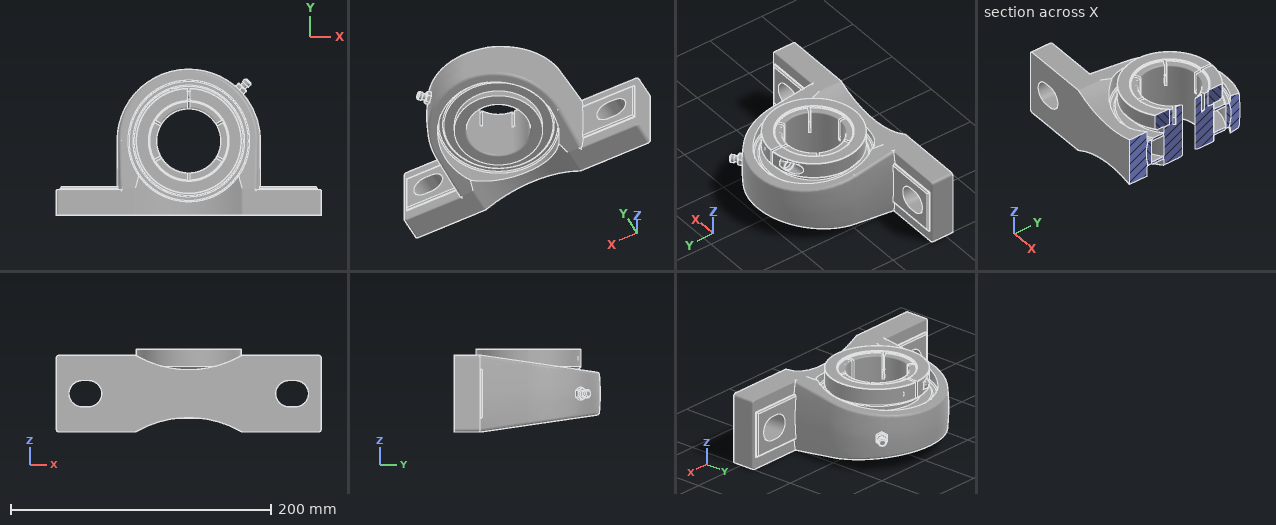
import cadquery as cq
import math


base_length = 204.0
base_depth = 59.3
base_height = 20.0
center_height = 57.2
base_corner_radius = 2.5
base_top_edge_radius = 1.4
cut_margin = 1.0
base_bottom = -center_height
base_top = base_bottom + base_height
half_depth = base_depth / 2

bolt_spacing = 159.0
slot_length = 25.0
slot_width = 20.0
pad_rise = 2.0
pad_depth = 38.0
pad_end_margin = 3.0
pad_chamfer = 1.2

head_radius = 55.3
head_crown_radius = 180.0
head_edge_radius = 2.5
head_foot = base_bottom + base_height / 2
taper_angle = 8.3
taper_start = base_top + 0.3

relief_depth = 11.2
relief_radius = 81.0
relief_edge_radius = 3.6

ring_face_diameter = 91.6
ring_half_width = 12.0
ring_sphere_radius = math.hypot(ring_face_diameter / 2, ring_half_width)
bore_diameter = 93.64

seal_diameter = 86.0
seal_thickness = 3.0
seal_rise = 1.0

collar_overhang = 4.55
collar_top = base_depth / 2 + collar_overhang
inner_ring_recess = 1.3
inner_ring_top = collar_top - inner_ring_recess
shaft_diameter = 49.21
shaft_edge_radius = 1.5
raceway_diameter = 68.0
neck_diameter = 61.0
inner_ring_bottom = -19.0
neck_chamfer = 0.5
finger_slot_width = 2.0
finger_slot_depth = 19.7
finger_slot_rise = 6.0
finger_slot_count = 6

collar_diameter = 81.0
collar_height = 15.5
collar_bottom_chamfer = 2.0
collar_top_chamfer = 0.3
collar_slit_width = 2.0
collar_bore_chamfer = 0.6
collar_bottom = collar_top - collar_height

screw_y = 35.2
screw_z = collar_top - 7.0
screw_head_diameter = 10.0
screw_head_length = 6.0
screw_head_start = -15.2
screw_socket_diameter = 8.0
screw_socket_depth = 3.0
screw_shank_diameter = 6.0
screw_end = 12.0

nipple_angle = 45.0
nipple_hex_diameter = 10.0
nipple_hex_height = 3.5
nipple_hex_chamfer = 1.0
nipple_neck_diameter = 4.92
nipple_neck_height = 2.8
nipple_head_diameter = 6.4
nipple_head_height = 3.6
nipple_head_chamfer = 0.9
nipple_stem_diameter = 6.0
nipple_stem_length = 5.0


def cylinder(diameter, bottom, top):
    return cq.Workplane("XY").workplane(offset=bottom).circle(diameter / 2).extrude(top - bottom)


def on_screw_axis(diameter, start, end):
    """Cylinder along the clamp screw axis."""
    plane = cq.Plane(origin=(start, screw_y, screw_z), xDir=(0, 1, 0), normal=(1, 0, 0))
    return cq.Workplane(plane).circle(diameter / 2).extrude(end - start)


def nipple_plane(distance):
    """Plane square to the nipple axis, at a distance from the bearing centre."""
    angle = math.radians(nipple_angle)
    outward = (math.cos(angle), math.sin(angle), 0)
    origin = (distance * outward[0], distance * outward[1], 0)
    return cq.Workplane(cq.Plane(origin=origin, xDir=(0, 0, 1), normal=outward))


def make_head():
    """Round head with straight legs, tapered in depth and rounded along its rims."""
    crown_drop = head_crown_radius - math.sqrt(head_crown_radius**2 - half_depth**2)
    edge_x = head_radius - crown_drop

    def half_section():
        """Half of the head cut through the shaft axis, with its crowned outer side."""
        return (
            cq.Workplane("XZ")
            .moveTo(0, -half_depth)
            .lineTo(edge_x, -half_depth)
            .threePointArc((head_radius, 0), (edge_x, half_depth))
            .lineTo(0, half_depth)
            .close()
        )

    legs = half_section().extrude(-head_foot)
    legs = legs.union(legs.mirror("YZ"))
    head = half_section().revolve(360, (0, 0, 0), (0, 1, 0)).union(legs)
    tip_y = head_radius + cut_margin
    tilt = math.radians(taper_angle)
    tip_half_depth = half_depth - (tip_y - taper_start) * math.tan(tilt)
    wedge = (
        cq.Workplane("YZ")
        .polyline([
            (head_foot, -half_depth),
            (taper_start, -half_depth),
            (tip_y, -tip_half_depth),
            (tip_y, tip_half_depth),
            (taper_start, half_depth),
            (head_foot, half_depth),
        ])
        .close()
        .extrude(head_radius + cut_margin, both=True)
    )
    head = head.intersect(wedge)
    for side in (1, -1):
        tapered_face = (0, math.sin(tilt), side * math.cos(tilt))
        rim = head.faces(cq.selectors.ParallelDirSelector(cq.Vector(*tapered_face))).edges("not(|X)")
        head = head.newObject(rim.vals()).fillet(head_edge_radius)
    return head


def make_base():
    base = (
        cq.Workplane("XY")
        .box(base_length, base_height, base_depth)
        .translate((0, base_bottom + base_height / 2, 0))
    )
    return base.edges("|Y").fillet(base_corner_radius).faces(">Y").edges().fillet(base_top_edge_radius)



def make_relief():
    """Cutter for both reliefs: a long arc with each end rounded over into the base face."""
    arc_bottom = half_depth - relief_depth
    arc_center = arc_bottom + relief_radius
    edge_center = half_depth - relief_edge_radius
    reach = relief_radius + relief_edge_radius
    edge_x = math.sqrt(reach**2 - (arc_center - edge_center) ** 2)
    half_angle = math.asin(edge_x / reach)
    join = (relief_radius * math.sin(half_angle), arc_center - relief_radius * math.cos(half_angle))
    edge_middle = (
        edge_x - relief_edge_radius * math.sin(half_angle / 2),
        edge_center + relief_edge_radius * math.cos(half_angle / 2),
    )
    clear = half_depth + cut_margin
    cutter = (
        cq.Workplane("XZ")
        .moveTo(-edge_x, clear)
        .lineTo(-edge_x, half_depth)
        .threePointArc((-edge_middle[0], edge_middle[1]), (-join[0], join[1]))
        .threePointArc((0, arc_bottom), join)
        .threePointArc(edge_middle, (edge_x, half_depth))
        .lineTo(edge_x, clear)
        .close()
        .extrude(center_height + head_radius, both=True)
    )
    return cutter.union(cutter.mirror("XY"))


def make_pads():
    pad_length = base_length - 2 * pad_end_margin
    pads = (
        cq.Workplane("XY")
        .box(pad_length, 2 * pad_rise, pad_depth)
        .translate((0, base_top, 0))
    )
    return pads.faces(">Y").edges().chamfer(pad_chamfer)


def make_bolt_slots():
    return (
        cq.Workplane("XZ", origin=(0, base_bottom, 0))
        .pushPoints([(-bolt_spacing / 2, 0), (bolt_spacing / 2, 0)])
        .slot2D(slot_length, slot_width)
        .extrude(-(base_height + pad_rise))
    )


def make_ring_blank():
    """Spherical zone that fills the seat in the housing."""
    zone = cylinder(2 * ring_sphere_radius, -ring_half_width, ring_half_width)
    return zone.intersect(cq.Workplane("XY").sphere(ring_sphere_radius))


def make_housing():
    housing = make_base().union(make_pads()).union(make_head())
    housing = housing.cut(make_relief()).cut(make_bolt_slots())
    bore_step = (bore_diameter - ring_face_diameter) / 2
    bore = cylinder(bore_diameter, ring_half_width, half_depth).faces("<Z").edges().chamfer(bore_step)
    housing = housing.cut(bore).cut(bore.mirror("XY")).cut(make_ring_blank())
    stem_bottom = head_radius - nipple_stem_length
    stem_hole = nipple_plane(stem_bottom).circle(nipple_stem_diameter / 2).extrude(2 * nipple_stem_length)
    return housing.cut(stem_hole)


def make_outer_ring():
    return make_ring_blank().cut(cylinder(seal_diameter, -ring_half_width, ring_half_width))


def make_seal(side):
    """Seal between the two rings; side is 1 for the collar side and -1 for the other."""
    top = ring_half_width + seal_rise
    seal = cylinder(seal_diameter, top - seal_thickness, top).faces(">Z").edges().chamfer(seal_rise)
    seal = seal.cut(cylinder(raceway_diameter, top - seal_thickness, top))
    return seal if side > 0 else seal.mirror("XY")


def make_inner_ring():
    ring = cylinder(raceway_diameter, inner_ring_bottom, collar_bottom)
    neck = cylinder(neck_diameter, collar_bottom, inner_ring_top).faces(">Z").edges().chamfer(neck_chamfer)
    ring = ring.union(neck).cut(cylinder(shaft_diameter, inner_ring_bottom, inner_ring_top))
    ring = ring.edges(cq.selectors.RadiusNthSelector(0)).fillet(shaft_edge_radius)
    slot_bottom = inner_ring_top - finger_slot_depth
    slot = (
        cq.Workplane("XZ")
        .polyline([
            (0, inner_ring_top),
            (0, slot_bottom),
            (shaft_diameter / 2, slot_bottom),
            (neck_diameter / 2, slot_bottom + finger_slot_rise),
            (neck_diameter / 2, inner_ring_top),
        ])
        .close()
        .extrude(finger_slot_width / 2, both=True)
    )
    for index in range(finger_slot_count):
        angle = 90 + index * 360 / finger_slot_count
        ring = ring.cut(slot.rotate((0, 0, 0), (0, 0, 1), angle))
    return ring


def make_collar():
    collar = cylinder(collar_diameter, collar_bottom, collar_top)
    collar = collar.faces("<Z").edges().chamfer(collar_bottom_chamfer)
    collar = collar.faces(">Z").edges().chamfer(collar_top_chamfer)
    collar = collar.cut(cylinder(neck_diameter, collar_bottom, collar_top))
    bore_edge = cq.selectors.RadiusNthSelector(0)
    collar = collar.faces(">Z").edges(bore_edge).chamfer(collar_bore_chamfer)
    slit = (
        cq.Workplane("XY", origin=(0, collar_diameter / 4, collar_bottom))
        .rect(collar_slit_width, collar_diameter / 2)
        .extrude(collar_height)
    )
    collar = collar.cut(slit)
    head_seat = screw_head_start + screw_head_length
    collar = collar.cut(on_screw_axis(screw_head_diameter, -collar_diameter / 2, head_seat))
    return collar.cut(on_screw_axis(screw_shank_diameter, head_seat, screw_end))


def make_screw():
    head_end = screw_head_start + screw_head_length
    screw = on_screw_axis(screw_head_diameter, screw_head_start, head_end)
    screw = screw.union(on_screw_axis(screw_shank_diameter, head_end, screw_end))
    return screw.cut(
        on_screw_axis(screw_socket_diameter, screw_head_start, screw_head_start + screw_socket_depth)
    )


def make_nipple():
    outer_end = cq.selectors.DirectionMinMaxSelector(nipple_plane(0).plane.zDir)
    stem_bottom = head_radius - nipple_stem_length
    hex_top = head_radius + nipple_hex_height
    head_bottom = hex_top + nipple_neck_height
    stem = nipple_plane(stem_bottom).circle(nipple_stem_diameter / 2).extrude(nipple_stem_length)
    hexagon = nipple_plane(head_radius).polygon(6, nipple_hex_diameter).extrude(nipple_hex_height)
    hex_limit = nipple_plane(head_radius).circle(nipple_hex_diameter / 2).extrude(nipple_hex_height)
    hexagon = hexagon.intersect(hex_limit.faces(outer_end).edges().chamfer(nipple_hex_chamfer))
    neck = nipple_plane(hex_top).circle(nipple_neck_diameter / 2).extrude(nipple_neck_height)
    head = nipple_plane(head_bottom).circle(nipple_head_diameter / 2).extrude(nipple_head_height)
    head = head.faces(outer_end).edges().chamfer(nipple_head_chamfer)
    return stem.union(hexagon).union(neck).union(head)


housing = make_housing()
outer_ring = make_outer_ring()
seals = [make_seal(side) for side in (1, -1)]
inner_ring = make_inner_ring()
collar = make_collar()
screw = make_screw()
nipple = make_nipple()

result = cq.Compound.makeCompound([
    housing.val(),
    outer_ring.val(),
    *[seal.val() for seal in seals],
    inner_ring.val(),
    collar.val(),
    screw.val(),
    nipple.val(),
])